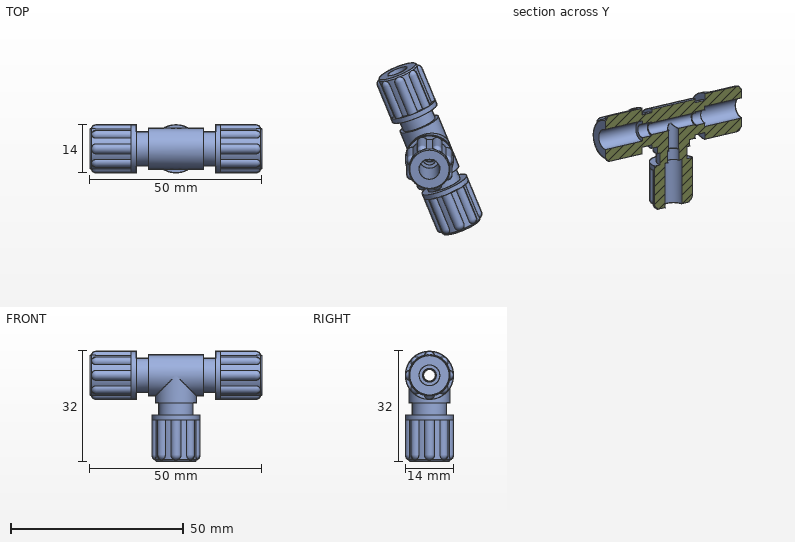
import cadquery as cq

reach = 25.0
body_reach = 8.0
body_diameter = 12.0
neck_diameter = 10.0

nut_length = 13.5
nut_diameter = 12.0
flange_diameter = 14.0
flange_width = 1.5
end_chamfer_length = 0.5
end_chamfer_depth = 0.3

rib_count = 8
rib_radius = 1.5
rib_tip_inset = 1.85

entry_diameter = 6.0
seat_diameter = 4.0
passage_diameter = 3.4

nut_start = reach - nut_length
rib_offset = flange_diameter / 2 - rib_radius
rib_end = reach - rib_tip_inset


def rod(diameter, start, end):
    """Cylinder along +Z from height start to height end."""
    return cq.Workplane("XY").workplane(offset=start).circle(diameter / 2).extrude(end - start)


def nut_core():
    """Smooth nut cylinder with its flange and a slim chamfer at the open end."""
    radius = nut_diameter / 2
    flange_radius = flange_diameter / 2
    flange_end = nut_start + flange_width
    profile = (
        cq.Workplane("XZ")
        .moveTo(0, nut_start)
        .lineTo(flange_radius, nut_start)
        .lineTo(flange_radius, flange_end)
        .lineTo(radius, flange_end)
        .lineTo(radius, reach - end_chamfer_length)
        .lineTo(radius - end_chamfer_depth, reach)
        .lineTo(0, reach)
        .close()
    )
    return profile.revolve(360, (0, 0, 0), (0, 1, 0))


def ribbed_nut():
    """Nut with evenly spaced round ribs, each ending in a ball tip."""
    rib = rod(2 * rib_radius, nut_start, rib_end)
    tip = cq.Workplane("XY").sphere(rib_radius).translate((0, 0, rib_end))
    rib = rib.union(tip).translate((rib_offset, 0, 0))
    nut = nut_core()
    for index in range(rib_count):
        nut = nut.union(rib.rotate((0, 0, 0), (0, 0, 1), index * 360 / rib_count))
    return nut


def arm_solid():
    """Neck and nut of one arm, pointing along +Z."""
    return rod(neck_diameter, 0, nut_start).union(ribbed_nut())


def arm_bore():
    """Stepped bore of one arm, running from the tee centre to the open end."""
    passage = rod(passage_diameter, 0, body_reach)
    seat = rod(seat_diameter, body_reach, nut_start)
    entry = rod(entry_diameter, nut_start, reach)
    return passage.union(seat).union(entry)


def on_every_arm(shape):
    """Join copies of a +Z shape turned to point along -X, +X and -Z."""
    joined = shape.rotate((0, 0, 0), (0, 1, 0), 180)
    for angle in (-90, 90):
        joined = joined.union(shape.rotate((0, 0, 0), (0, 1, 0), angle))
    return joined


run = rod(body_diameter, -body_reach, body_reach).rotate((0, 0, 0), (0, 1, 0), 90)
branch = rod(body_diameter, -body_reach, 0)
body = run.union(branch)

result = body.union(on_every_arm(arm_solid())).cut(on_every_arm(arm_bore()))